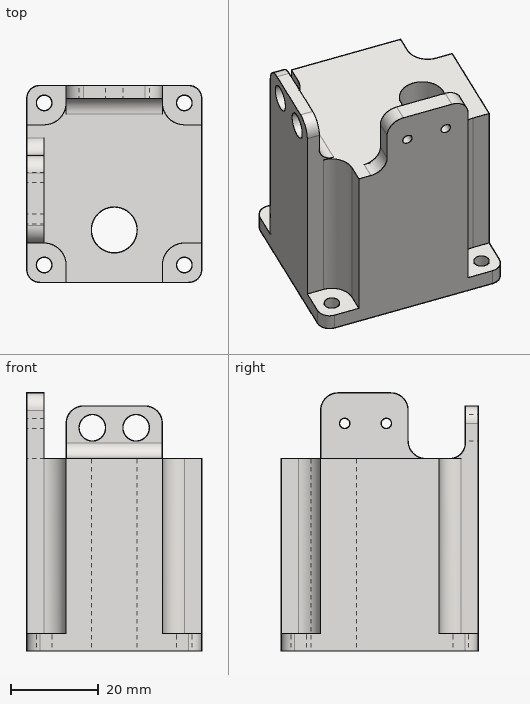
import cadquery as cq

length_x = 40.0
length_y = 45.0
base_thickness = 4.0
base_corner_radius = 3.0
screw_diameter = 3.5
screw_inset = 4.0

block_top = 44.0
relief_radius = 5.0
relief_size = screw_inset + relief_radius

bore_diameter = 10.4
bore_from_front = 12.0

tab_corner_radius = 4.0

back_tab_thickness = 3.0
back_tab_top = 56.0
back_fillet_radius = 3.5
back_hole_diameter = 6.0
back_hole_spacing = 10.0
back_hole_height = 51.0

side_tab_thickness = 4.0
side_tab_width = 20.0
side_tab_top = 59.0
side_fillet_radius = 4.0
side_hole_diameter = 2.3
side_hole_spacing = 9.5
side_hole_height = 52.0
side_hole_from_edge = 5.5

half_x = length_x / 2
half_y = length_y / 2
back_tab_half_width = half_x - relief_size
side_tab_front = -half_y + relief_size
side_tab_back = side_tab_front + side_tab_width


def make_base():
    """Rounded plate with a screw hole near each corner."""
    plate = (
        cq.Workplane("XY")
        .box(length_x, length_y, base_thickness, centered=(True, True, False))
        .edges("|Z")
        .fillet(base_corner_radius)
    )
    return (
        plate.faces(">Z")
        .workplane()
        .rect(length_x - 2 * screw_inset, length_y - 2 * screw_inset, forConstruction=True)
        .vertices()
        .hole(screw_diameter)
    )


def make_block():
    """Block with a round-cornered square relief cut from each vertical corner."""
    block_height = block_top - base_thickness
    base_top = cq.Workplane("XY").workplane(offset=base_thickness)
    block = base_top.rect(length_x, length_y).extrude(block_height)
    reliefs = (
        base_top.rect(length_x, length_y, forConstruction=True)
        .vertices()
        .rect(2 * relief_size, 2 * relief_size)
        .extrude(block_height)
        .edges("|Z")
        .fillet(relief_radius)
    )
    return block.cut(reliefs)


def make_back_tab():
    """Upright tab on the +Y edge, with a concave fillet down to the block top."""
    inner_y = half_y - back_tab_thickness
    fillet_centre_y = inner_y - back_fillet_radius
    fillet_top = block_top + back_fillet_radius
    tab = (
        cq.Workplane("YZ")
        .workplane(offset=-back_tab_half_width)
        .moveTo(half_y, block_top)
        .lineTo(half_y, back_tab_top)
        .lineTo(inner_y, back_tab_top)
        .lineTo(inner_y, fillet_top)
        .radiusArc((fillet_centre_y, block_top), back_fillet_radius)
        .close()
        .extrude(2 * back_tab_half_width)
        .edges("|Y and >Z")
        .fillet(tab_corner_radius)
    )
    holes = (
        cq.Workplane("XZ")
        .pushPoints([(side * back_hole_spacing / 2, back_hole_height) for side in (-1, 1)])
        .circle(back_hole_diameter / 2)
        .extrude(-length_y)
    )
    return tab.cut(holes)


def make_side_tab():
    """Upright tab on the -X edge, with a concave fillet at its +Y foot."""
    fillet_top = block_top + side_fillet_radius
    first_hole_y = side_tab_front + side_hole_from_edge
    outer_face = cq.Workplane("YZ").workplane(offset=-half_x)
    tab = (
        outer_face.moveTo(side_tab_front, block_top)
        .lineTo(side_tab_front, side_tab_top)
        .lineTo(side_tab_back, side_tab_top)
        .lineTo(side_tab_back, fillet_top)
        .radiusArc((side_tab_back + side_fillet_radius, block_top), -side_fillet_radius)
        .close()
        .extrude(side_tab_thickness)
        .edges("|X and >Z")
        .fillet(tab_corner_radius)
    )
    holes = (
        outer_face.pushPoints(
            [(first_hole_y + step * side_hole_spacing, side_hole_height) for step in (0, 1)]
        )
        .circle(side_hole_diameter / 2)
        .extrude(side_tab_thickness)
    )
    return tab.cut(holes)


def make_bore():
    """Cylinder for the vertical bore through the full height."""
    return (
        cq.Workplane("XY")
        .center(0, -half_y + bore_from_front)
        .circle(bore_diameter / 2)
        .extrude(block_top)
    )


body = make_base().union(make_block())
body = body.union(make_back_tab()).union(make_side_tab())
result = body.cut(make_bore())